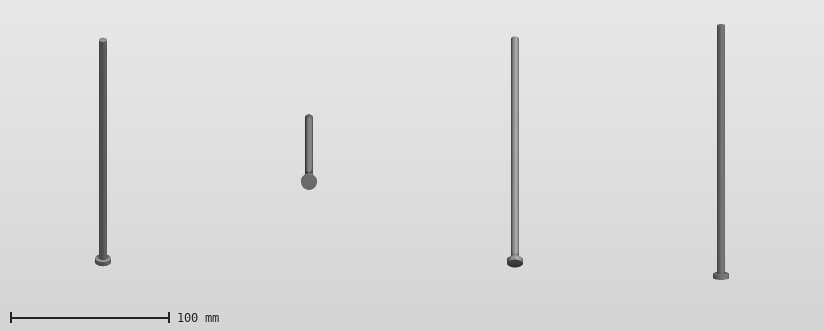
import cadquery as cq

total_length = 163
head_diameter = 10.0
head_height = 3.1
shaft_diameter = 5.0

head = cq.Workplane("XY").circle(head_diameter / 2).extrude(head_height)
shaft = cq.Workplane("XY").circle(shaft_diameter / 2).extrude(total_length)

result = head.union(shaft)